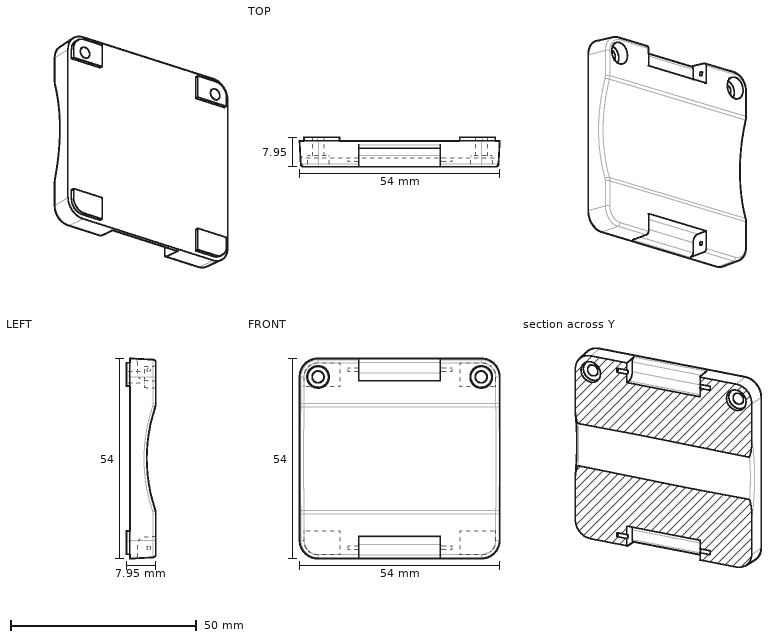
import cadquery as cq
import math

width = 54
half_width = width / 2
thickness = 7
draft_angle = 3
draft_slope = math.tan(math.radians(draft_angle))
corner_radius = 5.0
edge_radius = 0.85

scoop_depth = 2.5
scoop_half_height = 14.35
scoop_lip_radius = 3.0

notch_width = 21.9
notch_depth = 5.0
notch_floor = 20.9
notch_floor_radius = 2.0
wall_radius = 1.0

pin_diameter = 1.0
pin_hole_depth = 3.0
pin_y = 2.0
pin_z = 24.0

hole_diameter = 3.15
counterbore_diameter = 6.0
counterbore_depth = 3.2
hole_offset = half_width - corner_radius

foot_height = 0.95
foot_inset = 1.2
foot_width = 9.65
foot_length = 6.3
foot_corner_radius = 3.55


def back_plane(y):
    """Workplane at the given Y whose normal points to -Y and whose local axes are X and Z."""
    return cq.Workplane("XZ", origin=(0, y, 0))


def edge_half_width(y):
    """Half width of the drafted plate at the given Y."""
    return half_width - (thickness - y) * draft_slope


def make_plate():
    """Drafted plate with rounded corners, scooped front face and rounded front edges."""
    outline = cq.Sketch().rect(width, width).vertices().fillet(corner_radius)
    plate = back_plane(thickness).placeSketch(outline).extrude(thickness, taper=draft_angle)

    scoop_radius = (scoop_half_height**2 + scoop_depth**2) / (2 * scoop_depth)
    scoop = (
        cq.Workplane("YZ", origin=(-width, scoop_depth - scoop_radius, 0))
        .circle(scoop_radius)
        .extrude(2 * width)
    )
    plate = plate.cut(scoop)
    for side in (-1, 1):
        lip = cq.selectors.NearestToPointSelector((0, 0, side * scoop_half_height))
        plate = plate.edges(lip).fillet(scoop_lip_radius)

    rim = cq.selectors.NearestToPointSelector((0, 0, edge_half_width(0)))
    return plate.edges(rim).fillet(edge_radius)


def cut_notch(plate, side):
    """Cut the hinge notch at the top (side = 1) or bottom (side = -1) with its pin holes."""
    back_floor = notch_floor + notch_depth * draft_slope
    inner_corner = cq.selectors.NearestToPointSelector((0, notch_depth, back_floor))
    notch = (
        cq.Workplane("YZ", origin=(-notch_width / 2, 0, 0))
        .moveTo(0, notch_floor)
        .lineTo(notch_depth, back_floor)
        .lineTo(notch_depth, half_width)
        .lineTo(0, half_width)
        .close()
        .extrude(notch_width)
        .edges(inner_corner)
        .fillet(notch_floor_radius)
    )
    pins = (
        cq.Workplane("YZ", origin=(-notch_width / 2 - pin_hole_depth, pin_y, pin_z))
        .circle(pin_diameter / 2)
        .extrude(notch_width + 2 * pin_hole_depth)
    )
    cutter = notch.union(pins)
    if side < 0:
        cutter = cutter.mirror("XY")
    plate = plate.cut(cutter)

    wall_top = side * edge_half_width(notch_depth)
    wall_edge = cq.selectors.NearestToPointSelector((0, notch_depth, wall_top))
    return plate.edges(wall_edge).fillet(wall_radius)


def make_foot():
    """Pad behind the +X, +Z corner, with its outer corner rounded."""
    foot_edge = half_width - foot_inset
    return (
        cq.Workplane("XY")
        .box(foot_width, foot_height, foot_length, centered=False)
        .edges("|Y and >X and >Z")
        .fillet(foot_corner_radius)
        .translate((foot_edge - foot_width, thickness, foot_edge - foot_length))
    )


def add_feet(plate):
    """Join one foot to each corner of the back face."""
    right_foot = make_foot()
    for foot in (right_foot, right_foot.mirror("YZ")):
        plate = plate.union(foot).union(foot.mirror("XY"))
    return plate


def cut_screw_holes(plate):
    """Counterbored holes from the front, through the plate and the two top feet."""
    centers = [(-hole_offset, hole_offset), (hole_offset, hole_offset)]
    overall_depth = thickness + foot_height
    through = (
        back_plane(overall_depth)
        .pushPoints(centers)
        .circle(hole_diameter / 2)
        .extrude(overall_depth)
    )
    counterbores = (
        back_plane(0)
        .pushPoints(centers)
        .circle(counterbore_diameter / 2)
        .extrude(-counterbore_depth, taper=draft_angle)
    )
    return plate.cut(through).cut(counterbores)


result = make_plate()
for side in (-1, 1):
    result = cut_notch(result, side)
result = add_feet(result)
result = cut_screw_holes(result)